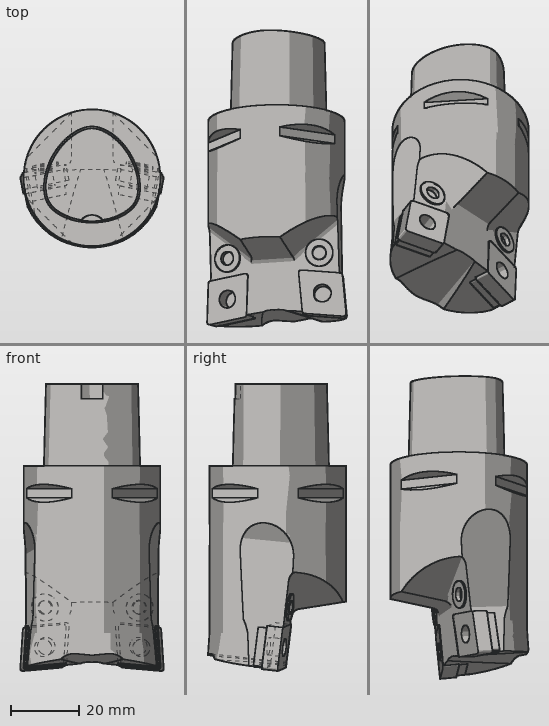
import cadquery as cq
import math

SHANK_HEIGHT = 24.0
SHANK_MEAN_RADIUS = 14.1
SHANK_TAPER = 1 / 40
SHANK_LOBE = 0.9
LOBE_HALF_ANGLE = 30.0
NOTCH_DIAMETER = 8.0
NOTCH_DEPTH = 1.7
NOTCH_HEIGHT = 4.3

HEAD_RADIUS = 20.0
FLANGE_HEIGHT = 20.0
NECK_BOTTOM = -48.8
NOSE_RIM_RADIUS = 20.43
NOSE_RIM_Z = -54.9
STOCK_BOTTOM = -62.0

GROOVE_Z = -8.0
GROOVE_FLOOR_HEIGHT = 2.6
GROOVE_DEPTH = 2.3
GROOVE_FLANK_ANGLE = 30.0

RADIAL_RAKE = 11.0
SIDE_TILT = 10.0
AXIAL_RAKE = 6.4
TIP_X = -21.06
TIP_Y = -0.15
TIP_Z = -60.08

INSERT_CIRCLE = 12.7
INSERT_CORNER = 80.0
INSERT_THICKNESS = 4.76
INSERT_NOSE = 0.8
INSERT_HOLE = 5.16
EDGE_LEAD = (90 - INSERT_CORNER) / 2
INSERT_EDGE = INSERT_CIRCLE / math.sin(math.radians(INSERT_CORNER))
LEAD_SIN = math.sin(math.radians(EDGE_LEAD))
LEAD_COS = math.cos(math.radians(EDGE_LEAD))
LEAD_TAN = LEAD_SIN / LEAD_COS

PAD_INSET = 0.4
PAD_THICKNESS = 2.6

SIDE_CLEARANCE = 0.65
BOTTOM_CLEARANCE = 0.6
SIDE_TOP = 12.6
FLAT_BOTTOM = (2.0, 14.1)
FLAT_TOP = (2.4, 33.6)
RUNOUT_END = (-4.0, 50.3)
END_STRAIGHT = 21.6
END_CURVE_RADIUS = 6.0

CEILING_HALF_WIDTH = 6.0
CEILING_FLANK_ANGLE = 39.0
CEILING_SLOPE = 9.0
CEILING_RIM_Z = -39.7
CORE_Y = 2.45
CORE_Z = -57.5
FLUTE_FILLET = 2.7
ROOT_ZONE_DEPTH = 6.0
ROOT_ZONE_BOTTOM = -44.0
ROOT_ZONE_TOP = -30.0

BOSS_DIAMETER = 8.0
BOSS_HEIGHT = 0.5
BOSS_CENTER = (7.8, 18.9)
SOCKET_DIAMETER = 4.0
SOCKET_DEPTH = 1.5

REACH = 60.0


def tilted_plane(x, y, z, radial_rake):
    """Plane through a point whose normal runs into the body, tilted by both rakes."""
    slope_x = math.tan(math.radians(radial_rake))
    slope_z = math.tan(math.radians(AXIAL_RAKE))
    return cq.Plane((x, y, z), (1, slope_x, 0), (slope_x, -1, slope_z))


INSERT_PLANE = tilted_plane(TIP_X, TIP_Y, TIP_Z, RADIAL_RAKE)
SIDE_PLANE = tilted_plane(TIP_X, TIP_Y, TIP_Z, SIDE_TILT)
CORE_PLANE = tilted_plane(0, CORE_Y, CORE_Z, 0)


def mirrored(shape):
    return shape.mirror("YZ")


def lobe_outline(mean_radius, z):
    """Constant-width outline given by its distance from the axis along each normal."""
    def point(degrees):
        angle = math.radians(degrees)
        lobe_angle = 3 * math.radians(degrees - 90)
        distance = mean_radius + SHANK_LOBE * math.cos(lobe_angle)
        slope = -3 * SHANK_LOBE * math.sin(lobe_angle)
        x = distance * math.cos(angle) - slope * math.sin(angle)
        y = distance * math.sin(angle) + slope * math.cos(angle)
        return cq.Vector(x, y, z)

    edges = []
    points_per_face = 9
    for lobe in (90, 210, 330):
        joints = (lobe - LOBE_HALF_ANGLE, lobe + LOBE_HALF_ANGLE, lobe + 120 - LOBE_HALF_ANGLE)
        for start, end in zip(joints, joints[1:]):
            step = (end - start) / (points_per_face - 1)
            points = [point(start + step * i) for i in range(points_per_face)]
            edges.append(cq.Edge.makeSpline(points))
    return cq.Wire.assembleEdges(edges)


def make_shank():
    top_radius = SHANK_MEAN_RADIUS - SHANK_TAPER * SHANK_HEIGHT
    outlines = [lobe_outline(SHANK_MEAN_RADIUS, 0), lobe_outline(top_radius, SHANK_HEIGHT)]
    shank = cq.Workplane(cq.Solid.makeLoft(outlines, True))
    notch_y = -(top_radius - SHANK_LOBE) + NOTCH_DEPTH - NOTCH_DIAMETER / 2
    notch = (
        cq.Workplane("XY", origin=(0, notch_y, SHANK_HEIGHT - NOTCH_HEIGHT))
        .circle(NOTCH_DIAMETER / 2)
        .extrude(NOTCH_HEIGHT)
    )
    return shank.cut(notch)


def make_head():
    flange = cq.Workplane("XY").circle(HEAD_RADIUS).extrude(-FLANGE_HEIGHT)
    flare = (NOSE_RIM_RADIUS - HEAD_RADIUS) / (NECK_BOTTOM - NOSE_RIM_Z)
    bottom_radius = HEAD_RADIUS + flare * (NECK_BOTTOM - STOCK_BOTTOM)
    lower = (
        cq.Workplane("XZ")
        .moveTo(0, -FLANGE_HEIGHT)
        .lineTo(HEAD_RADIUS, -FLANGE_HEIGHT)
        .lineTo(HEAD_RADIUS, NECK_BOTTOM)
        .lineTo(bottom_radius, STOCK_BOTTOM)
        .lineTo(0, STOCK_BOTTOM)
        .close()
        .revolve(360, (0, 0, 0), (0, 1, 0))
    )
    return flange.union(lower, clean=False)


def gripper_groove(angle):
    floor = HEAD_RADIUS - GROOVE_DEPTH
    outer = HEAD_RADIUS + 1
    half_floor = GROOVE_FLOOR_HEIGHT / 2
    half_outer = half_floor + (outer - floor) * math.tan(math.radians(GROOVE_FLANK_ANGLE))
    return (
        cq.Workplane("XZ")
        .polyline([
            (floor, GROOVE_Z - half_floor),
            (outer, GROOVE_Z - half_outer),
            (outer, GROOVE_Z + half_outer),
            (floor, GROOVE_Z + half_floor),
        ])
        .close()
        .extrude(HEAD_RADIUS, both=True)
        .rotate((0, 0, 0), (0, 0, 1), angle)
    )


def insert_blank(inset, thickness, start):
    """Rhombus with rounded corners, drawn in by inset, from depth start along w."""
    return (
        cq.Workplane(INSERT_PLANE)
        .workplane(offset=start)
        .polyline([
            (0, 0),
            (INSERT_EDGE * LEAD_COS, INSERT_EDGE * LEAD_SIN),
            (INSERT_EDGE * (LEAD_COS + LEAD_SIN), INSERT_EDGE * (LEAD_COS + LEAD_SIN)),
            (INSERT_EDGE * LEAD_SIN, INSERT_EDGE * LEAD_COS),
        ])
        .close()
        .offset2D(-INSERT_NOSE - inset)
        .offset2D(INSERT_NOSE)
        .extrude(thickness)
    )


def make_insert():
    center = INSERT_EDGE * (LEAD_COS + LEAD_SIN) / 2
    hole = (
        cq.Workplane(INSERT_PLANE)
        .center(center, center)
        .circle(INSERT_HOLE / 2)
        .extrude(INSERT_THICKNESS)
    )
    return insert_blank(0, INSERT_THICKNESS, 0).cut(hole)


def side_cut():
    """Flat along the outer side, running out in an arc above and flaring beside the insert."""
    below = -5.0
    outside = -10.0
    return (
        cq.Workplane(SIDE_PLANE)
        .moveTo(outside, below)
        .lineTo(SIDE_CLEARANCE + below * LEAD_TAN, below)
        .lineTo(SIDE_CLEARANCE + SIDE_TOP * LEAD_TAN, SIDE_TOP)
        .lineTo(*FLAT_BOTTOM)
        .lineTo(*FLAT_TOP)
        .tangentArcPoint(RUNOUT_END, relative=False)
        .lineTo(outside, RUNOUT_END[1])
        .close()
        .extrude(REACH, both=True)
    )


def end_cut():
    """End face parallel to the insert's lower edge, curving down past the middle."""
    below = -8.0
    outside = -10.0
    curve_end_v = BOTTOM_CLEARANCE + END_STRAIGHT * LEAD_TAN - END_CURVE_RADIUS * LEAD_COS
    curve_end_u = END_STRAIGHT + END_CURVE_RADIUS * (1 + LEAD_SIN)
    return (
        cq.Workplane(INSERT_PLANE)
        .moveTo(outside, below)
        .lineTo(outside, BOTTOM_CLEARANCE + outside * LEAD_TAN)
        .lineTo(END_STRAIGHT, BOTTOM_CLEARANCE + END_STRAIGHT * LEAD_TAN)
        .tangentArcPoint((curve_end_u, curve_end_v), relative=False)
        .lineTo(curve_end_u, below)
        .close()
        .extrude(REACH, both=True)
    )


def flute_cut():
    """Space below a roof-shaped ceiling and in front of the two rake faces and the core."""
    half_width = HEAD_RADIUS + 1
    edge_rise = (half_width - CEILING_HALF_WIDTH) * math.tan(math.radians(CEILING_FLANK_ANGLE))
    slope = math.radians(CEILING_SLOPE)
    overrun = 5.0
    ceiling_plane = cq.Plane(
        (0, HEAD_RADIUS, CEILING_RIM_Z), (1, 0, 0), (0, -math.cos(slope), -math.sin(slope))
    )
    space = (
        cq.Workplane(ceiling_plane)
        .polyline([
            (-half_width, edge_rise),
            (-CEILING_HALF_WIDTH, 0),
            (CEILING_HALF_WIDTH, 0),
            (half_width, edge_rise),
            (half_width, -2 * HEAD_RADIUS),
            (-half_width, -2 * HEAD_RADIUS),
        ])
        .close()
        .extrude(REACH / 2)
        .translate((0, overrun * math.cos(slope), overrun * math.sin(slope)))
    )
    rear = cq.Workplane(CORE_PLANE).rect(2 * REACH, 2 * REACH).extrude(REACH)
    behind_rake = cq.Workplane(INSERT_PLANE).rect(4 * REACH, 4 * REACH).extrude(REACH)
    rear = rear.intersect(behind_rake).intersect(mirrored(behind_rake))
    flute = space.cut(rear)
    root_zone = cq.selectors.BoxSelector(
        (-HEAD_RADIUS, 0, ROOT_ZONE_BOTTOM),
        (HEAD_RADIUS, ROOT_ZONE_DEPTH, ROOT_ZONE_TOP),
    )
    return flute.edges(root_zone).fillet(FLUTE_FILLET)


def socket_boss():
    return (
        cq.Workplane(INSERT_PLANE)
        .center(*BOSS_CENTER)
        .circle(BOSS_DIAMETER / 2)
        .extrude(BOSS_HEIGHT, both=True)
    )


def boss_socket():
    return (
        cq.Workplane(INSERT_PLANE)
        .workplane(offset=-BOSS_HEIGHT)
        .center(*BOSS_CENTER)
        .circle(SOCKET_DIAMETER / 2)
        .extrude(SOCKET_DEPTH)
    )


def make_body():
    body = make_head()
    for angle in (45, 135, 225, 315):
        body = body.cut(gripper_groove(angle), clean=False)
    body = body.cut(flute_cut(), clean=False)
    for trim in (side_cut(), end_cut()):
        for placed in (trim, mirrored(trim)):
            body = body.cut(placed, clean=False)
    pad = insert_blank(PAD_INSET, PAD_THICKNESS, INSERT_THICKNESS)
    seat = insert_blank(0, INSERT_THICKNESS, 0)
    for pocket in (seat, mirrored(seat)):
        body = body.cut(pocket, clean=False)
    round_boss = socket_boss()
    for boss in (pad, mirrored(pad), round_boss, mirrored(round_boss)):
        body = body.union(boss, clean=False)
    socket = boss_socket()
    for hole in (socket, mirrored(socket)):
        body = body.cut(hole, clean=False)
    return body.union(make_shank(), clean=False)


body = make_body()
insert = make_insert()
inserts = [insert.val(), mirrored(insert).val()]
result = cq.Compound.makeCompound([body.val(), *inserts])